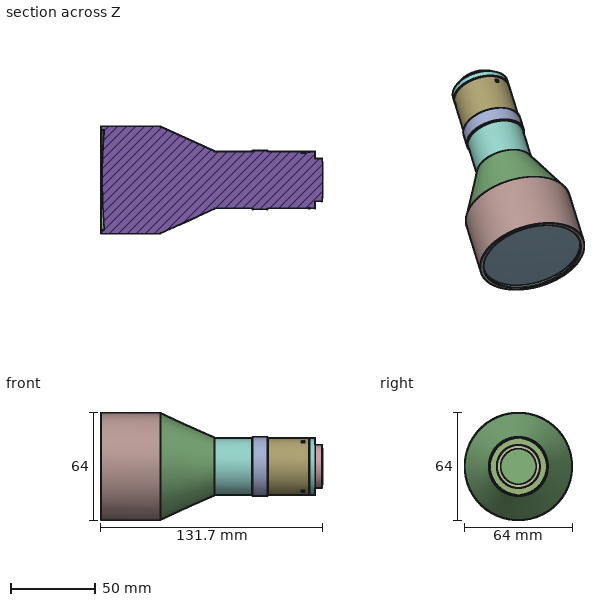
import cadquery as cq
import math

total_length = 131.7
cone_start = 35.2
cone_end = 67.5
collar_start = 89.4
collar_end = 99.3
groove_start = 123.1
groove_end = 123.8
barrel_end = 127.1
tail_end = 131.3

head_radius = 32.0
barrel_radius = 17.0
collar_radius = 17.6
tail_radius = 12.9
end_step_radius = 10.5
lens_radius = 29.6

head_chamfer = 0.3
cone_bevel = 0.3
collar_chamfer = 0.7
tail_chamfer = 0.3
groove_depth = 0.4
lens_mouth_chamfer = 0.3

lens_setback = 1.8
lens_bulge = 1.2

screw_count = 3
screw_first_angle = 30.0
screw_station = 120.0
screw_radius = 1.0
screw_depth = 1.0


def revolve_about_x(profile):
    """Turn a closed XY profile fully around the X axis."""
    return profile.close().revolve(360, (0, 0, 0), (1, 0, 0))


def make_body():
    profile = (
        cq.Workplane("XY")
        .lineTo(0, head_radius - head_chamfer)
        .lineTo(head_chamfer, head_radius)
        .lineTo(cone_start, head_radius)
        .lineTo(cone_start + cone_bevel, head_radius - cone_bevel)
        .lineTo(cone_end - cone_bevel, barrel_radius + cone_bevel)
        .lineTo(cone_end, barrel_radius)
        .lineTo(collar_start, barrel_radius)
        .lineTo(collar_start + collar_chamfer, collar_radius)
        .lineTo(collar_end - collar_chamfer, collar_radius)
        .lineTo(collar_end, barrel_radius)
        .lineTo(groove_start, barrel_radius)
        .lineTo((groove_start + groove_end) / 2, barrel_radius - groove_depth)
        .lineTo(groove_end, barrel_radius)
        .lineTo(barrel_end, barrel_radius)
        .lineTo(barrel_end, tail_radius)
        .lineTo(tail_end - tail_chamfer, tail_radius)
        .lineTo(tail_end, tail_radius - tail_chamfer)
        .lineTo(tail_end, end_step_radius)
        .lineTo(total_length, end_step_radius)
        .lineTo(total_length, 0)
    )
    return revolve_about_x(profile)


def make_lens_recess():
    """Space in front of the lens, bounded behind by its spherical face."""
    lens_front = lens_setback - lens_bulge
    sphere_radius = (lens_radius**2 + lens_bulge**2) / (2 * lens_bulge)
    mid_height = lens_radius / 2
    mid_station = lens_front + sphere_radius - math.sqrt(sphere_radius**2 - mid_height**2)
    profile = (
        cq.Workplane("XY")
        .lineTo(0, lens_radius + lens_mouth_chamfer)
        .lineTo(lens_mouth_chamfer, lens_radius)
        .lineTo(lens_setback, lens_radius)
        .threePointArc((mid_station, mid_height), (lens_front, 0))
    )
    return revolve_about_x(profile)


def make_screw_hole(angle):
    """Radial blind hole in the barrel, turned from +Z about the X axis."""
    hole = (
        cq.Workplane("XY", origin=(screw_station, 0, barrel_radius - screw_depth))
        .circle(screw_radius)
        .extrude(2 * screw_depth)
    )
    return hole.rotate((0, 0, 0), (1, 0, 0), angle)


result = make_body().cut(make_lens_recess())
for index in range(screw_count):
    result = result.cut(make_screw_hole(screw_first_angle + index * 360 / screw_count))